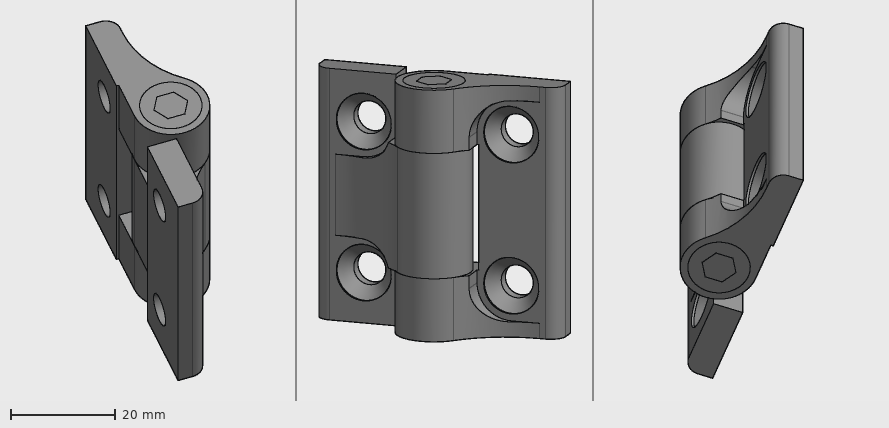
import cadquery as cq
import math

width = 50.0
height = 50.0
plate_thickness = 6.0
edge_radius = 3.0
plate_gap_half = 8.4

axis_y = 8.0
knuckle_radius = 7.5
blend_radius = 20.0
middle_knuckle_height = 24.9

bushing_diameter = 12.0
core_across_flats = 6.0

screw_x = 15.0
screw_z = 15.0
screw_diameter = 6.5
screw_head_diameter = 11.2
screw_straight_depth = 2.5
countersink_depth = 3.0
head_clearance_radius = 6.95

half_width = width / 2
half_height = height / 2
middle_half = middle_knuckle_height / 2
knuckle_bottom = axis_y - knuckle_radius
knuckle_top = axis_y + knuckle_radius

blend_center_y = plate_thickness + blend_radius
blend_angle = math.asin((blend_center_y - axis_y) / (knuckle_radius + blend_radius))
blend_center_x = -(knuckle_radius + blend_radius) * math.cos(blend_angle)


def box_between(x_range, y_range, z_range):
    """Box given by its lower and upper limit along each axis."""
    size = [high - low for low, high in (x_range, y_range, z_range)]
    corner = (x_range[0], y_range[0], z_range[0])
    return cq.Workplane("XY").box(*size, centered=False).translate(corner)


def plate():
    """Left mounting plate with its outer edge rounded on the knuckle side."""
    body = box_between((-half_width, -plate_gap_half), (0, plate_thickness), (-half_height, half_height))
    return body.edges("|Z and <X and >Y").fillet(edge_radius)


def lug(z_start, z_end):
    """Knuckle with the blend that runs down onto the left plate."""
    tangent = (
        -knuckle_radius * math.cos(blend_angle),
        axis_y + knuckle_radius * math.sin(blend_angle),
    )
    blend_mid_angle = (blend_angle + math.pi / 2) / 2
    blend_mid = (
        blend_center_x + blend_radius * math.cos(blend_mid_angle),
        blend_center_y - blend_radius * math.sin(blend_mid_angle),
    )
    return (
        cq.Workplane("XY")
        .workplane(offset=z_start)
        .moveTo(0, knuckle_bottom)
        .threePointArc((knuckle_radius, axis_y), tangent)
        .threePointArc(blend_mid, (blend_center_x, plate_thickness))
        .lineTo(blend_center_x, knuckle_bottom)
        .close()
        .extrude(z_end - z_start)
    )


def screw_hole(z):
    """Left-hand through hole with a conical countersink and a straight recess above it."""
    hole_radius = screw_diameter / 2
    head_radius = screw_head_diameter / 2
    cone_end = screw_straight_depth + countersink_depth
    hole_profile = [
        (0, 0),
        (hole_radius, 0),
        (hole_radius, screw_straight_depth),
        (head_radius, cone_end),
        (head_radius, plate_thickness),
        (0, plate_thickness),
    ]
    return (
        cq.Workplane("XY")
        .polyline(hole_profile)
        .close()
        .revolve(360, (0, 0, 0), (0, 1, 0))
        .translate((-screw_x, 0, z))
    )


def clearance_box(x_end, z_range):
    """Space above the left plate, from its outer edge to x_end."""
    return box_between((-half_width, x_end), (plate_thickness, knuckle_top), z_range)


def head_clearance(z):
    """U-shaped relief in the blend above one screw, open to the outer edge of the plate."""
    round_end = (
        cq.Workplane("XZ", origin=(-screw_x, knuckle_top, z))
        .circle(head_clearance_radius)
        .extrude(knuckle_top - plate_thickness)
    )
    channel = clearance_box(-screw_x, (z - head_clearance_radius, z + head_clearance_radius))
    return round_end.union(channel)


def leaf(knuckle_spans):
    """Left-hand leaf carrying a lug on each (start, end) span along Z."""
    body = plate()
    for z_start, z_end in knuckle_spans:
        body = body.union(lug(z_start, z_end))
    for z in (-screw_z, screw_z):
        body = body.cut(screw_hole(z)).cut(head_clearance(z))
    return body.cut(bushing_bore())


def bushing_bore():
    """Cylinder on the hinge axis over the full height."""
    return (
        cq.Workplane("XY")
        .workplane(offset=-half_height)
        .center(0, axis_y)
        .circle(bushing_diameter / 2)
        .extrude(height)
    )


def hex_core():
    """Hexagonal bar on the hinge axis with two corners on the Y direction."""
    across_corners = core_across_flats / math.cos(math.pi / 6)
    return (
        cq.Workplane("XY")
        .workplane(offset=-half_height)
        .center(0, axis_y)
        .transformed(rotate=(0, 0, 90))
        .polygon(6, across_corners)
        .extrude(height)
    )


pocket_middle = clearance_box(head_clearance_radius - screw_x, (-screw_z, screw_z))
outer_leaf = leaf([(-half_height, -middle_half), (middle_half, half_height)]).cut(pocket_middle)

inner_leaf = leaf([(-middle_half, middle_half)]).mirror("YZ")

core = hex_core()
bushing = bushing_bore().cut(core)

result = cq.Compound.makeCompound([outer_leaf.val(), inner_leaf.val(), bushing.val(), core.val()])